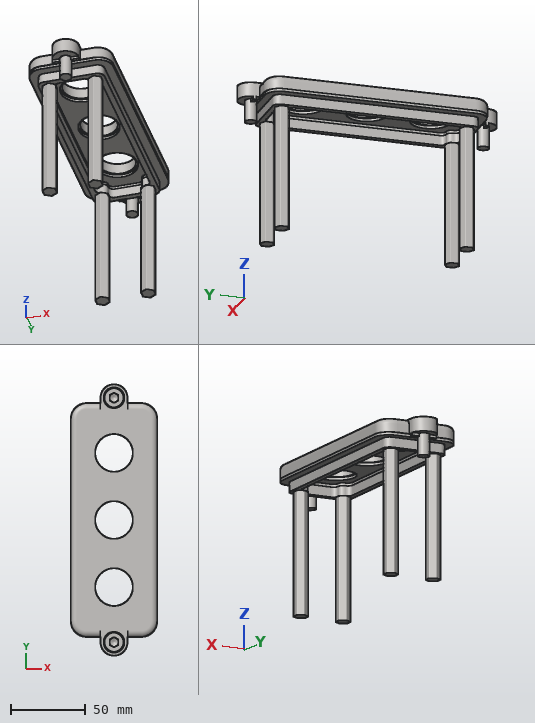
import cadquery as cq

COVER_WIDTH = 58.0
COVER_LENGTH = 156.9
COVER_HEIGHT = 10.0
COVER_CORNER_RADIUS = 10.7
COVER_TOP_FILLET = 4.0

OVERALL_LENGTH = 182.0
EAR_RADIUS = 9.1
SCREW_Y = OVERALL_LENGTH / 2 - EAR_RADIUS
EAR_RIB_THICKNESS = 2.2

OPENING_DIAMETER = 25.1
OPENING_PITCH = 45.0
OPENING_STEPS = (-1, 0, 1)
OPENING_RELIEF_DIAMETER = 28.0
OPENING_RELIEF_DEPTH = 2.0

GASKET_THICKNESS = 2.0
GASKET_END_SETBACK = 0.5
GASKET_LENGTH = COVER_LENGTH - 2 * GASKET_END_SETBACK
GASKET_CORNER_RADIUS = COVER_CORNER_RADIUS - GASKET_END_SETBACK

FRAME_WIDTH = 45.9
FRAME_LENGTH = 144.5
FRAME_HEIGHT = 7.0
FRAME_CORNER_RADIUS = 5.0
FRAME_WALL = 4.0
FRAME_INNER_WIDTH = FRAME_WIDTH - 2 * FRAME_WALL
FRAME_INNER_LENGTH = FRAME_LENGTH - 2 * FRAME_WALL
FRAME_END_WINDOW_WIDTH = 23.7
FRAME_WIDE_WINDOW_LENGTH = 121.5
FRAME_WINDOW_FILLET = 3.5
FRAME_TOP_Z = -GASKET_THICKNESS
FRAME_BOTTOM_Z = FRAME_TOP_Z - FRAME_HEIGHT
LEG_ACROSS_FLATS = 9.0
LEG_EDGE_FILLET = 0.5
LEG_SPACING_X = 31.8
LEG_SPACING_Y = 130.3
OVERALL_HEIGHT = 105.0
LEG_BOTTOM_Z = COVER_HEIGHT - OVERALL_HEIGHT

SHANK_DIAMETER = 8.0
SCREW_BOTTOM_Z = -15.1
HEAD_DIAMETER = 12.7
HEAD_HEIGHT = 7.3
HEAD_RECESS = 0.7
HEAD_TOP_Z = COVER_HEIGHT - HEAD_RECESS
HEAD_BOTTOM_Z = HEAD_TOP_Z - HEAD_HEIGHT
HEAD_BORE_DIAMETER = 14.0
SOCKET_ACROSS_FLATS = 6.0
SOCKET_DEPTH = 2.0
SOCKET_TIP_DEPTH = 1.6

HEX_CORNER_RATIO = 2 / 3**0.5
HEX_TURN = 30
END_SIGNS = (-1, 1)


def rounded_block(width, length, corner_radius, bottom_z, height):
    block = cq.Workplane("XY", origin=(0, 0, bottom_z)).rect(width, length).extrude(height)
    return block.edges("|Z").fillet(corner_radius)


def hexagon_prism(across_flats, bottom_z, height):
    """Hexagonal prism on the Z axis with two flats facing +X and -X."""
    prism = cq.Workplane("XY", origin=(0, 0, bottom_z)).polygon(6, across_flats * HEX_CORNER_RATIO)
    return prism.extrude(height).rotate((0, 0, 0), (0, 0, 1), HEX_TURN)


def cylinder(y, diameter, bottom_z, top_z):
    return cq.Workplane("XY", origin=(0, y, bottom_z)).circle(diameter / 2).extrude(top_z - bottom_z)


def make_ear(end):
    """Round-ended lug with a thin rib beneath it, level with the screw axis."""
    root_y = COVER_LENGTH / 2 - COVER_TOP_FILLET
    outline = (
        cq.Sketch()
        .push([(0, end * SCREW_Y)])
        .circle(EAR_RADIUS)
        .reset()
        .push([(0, end * (root_y + SCREW_Y) / 2)])
        .rect(2 * EAR_RADIUS, SCREW_Y - root_y)
        .clean()
    )
    lug = cq.Workplane("XY").placeSketch(outline).extrude(COVER_HEIGHT)
    skirt = cq.Workplane("XY").placeSketch(outline).extrude(-GASKET_THICKNESS)
    slab = cq.Workplane("XY").box(3 * EAR_RADIUS, EAR_RIB_THICKNESS, 3 * GASKET_THICKNESS)
    rib = skirt.intersect(slab.translate((0, end * SCREW_Y, 0)))
    return lug.union(rib)


def make_cover():
    cover = rounded_block(COVER_WIDTH, COVER_LENGTH, COVER_CORNER_RADIUS, 0, COVER_HEIGHT)
    cover = cover.faces(">Z").edges().fillet(COVER_TOP_FILLET)
    for end in END_SIGNS:
        cover = cover.union(make_ear(end))
        y = end * SCREW_Y
        cover = cover.cut(cylinder(y, SHANK_DIAMETER, -GASKET_THICKNESS, COVER_HEIGHT))
        cover = cover.cut(cylinder(y, HEAD_BORE_DIAMETER, HEAD_BOTTOM_Z, COVER_HEIGHT))
    for step in OPENING_STEPS:
        y = step * OPENING_PITCH
        cover = cover.cut(cylinder(y, OPENING_DIAMETER, 0, COVER_HEIGHT))
        cover = cover.cut(cylinder(y, OPENING_RELIEF_DIAMETER, 0, OPENING_RELIEF_DEPTH))
    return cover


def make_window(bottom_z, height):
    """Cross-shaped opening that leaves a thick corner around each leg."""
    base = cq.Workplane("XY", origin=(0, 0, bottom_z))
    wide = base.rect(FRAME_INNER_WIDTH, FRAME_WIDE_WINDOW_LENGTH).extrude(height)
    long = base.rect(FRAME_END_WINDOW_WIDTH, FRAME_INNER_LENGTH).extrude(height)
    return wide.union(long).edges("|Z").fillet(FRAME_WINDOW_FILLET)


def make_gasket():
    sheet = rounded_block(
        COVER_WIDTH, GASKET_LENGTH, GASKET_CORNER_RADIUS, -GASKET_THICKNESS, GASKET_THICKNESS
    )
    return sheet.cut(make_window(-GASKET_THICKNESS, GASKET_THICKNESS))


def make_leg_frame():
    frame = rounded_block(FRAME_WIDTH, FRAME_LENGTH, FRAME_CORNER_RADIUS, FRAME_BOTTOM_Z, FRAME_HEIGHT)
    frame = frame.cut(make_window(FRAME_BOTTOM_Z, FRAME_HEIGHT))
    leg = hexagon_prism(LEG_ACROSS_FLATS, LEG_BOTTOM_Z, FRAME_BOTTOM_Z - LEG_BOTTOM_Z)
    leg = leg.edges("|Z").fillet(LEG_EDGE_FILLET)
    for x_sign in END_SIGNS:
        for y_sign in END_SIGNS:
            frame = frame.union(leg.translate((x_sign * LEG_SPACING_X / 2, y_sign * LEG_SPACING_Y / 2, 0)))
    return frame


def make_screw(end):
    """Socket head screw whose socket ends in a conical tip."""
    y = end * SCREW_Y
    screw = cylinder(y, HEAD_DIAMETER, HEAD_BOTTOM_Z, HEAD_TOP_Z)
    screw = screw.union(cylinder(y, SHANK_DIAMETER, SCREW_BOTTOM_Z, HEAD_BOTTOM_Z))
    socket = hexagon_prism(SOCKET_ACROSS_FLATS, HEAD_TOP_Z - SOCKET_DEPTH, SOCKET_DEPTH)
    tip = cq.Workplane(
        cq.Solid.makeCone(
            SOCKET_ACROSS_FLATS / 2,
            0,
            SOCKET_TIP_DEPTH,
            cq.Vector(0, 0, HEAD_TOP_Z - SOCKET_DEPTH),
            cq.Vector(0, 0, -1),
        )
    )
    return screw.cut(socket.union(tip).translate((0, y, 0)))


cover = make_cover()
gasket = make_gasket()
leg_frame = make_leg_frame()
screws = [make_screw(end) for end in END_SIGNS]

result = cq.Compound.makeCompound(
    [cover.val(), gasket.val(), leg_frame.val(), *[screw.val() for screw in screws]]
)